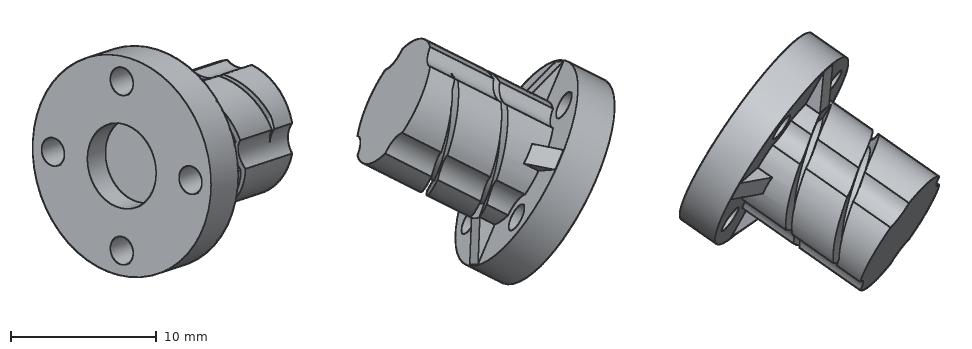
import cadquery as cq
import math

flange_diameter = 15.6
flange_thickness = 3.0
bolt_hole_count = 4
bolt_circle_diameter = 12.01
bolt_hole_diameter = 2.0
recess_diameter = 6.0
recess_depth = 2.0

total_length = 13.0
barrel_diameter = 9.5
barrel_radius = barrel_diameter / 2
scallop_count = 4
scallop_diameter = 3.48
scallop_radius = scallop_diameter / 2
scallop_width = 2.15

rib_count = 4
first_rib_angle = 45
rib_thickness = 1.5
rib_height = 1.2
rib_inner_radius = 4.7
rib_outer_radius = 7.68
rib_embed = 0.78

groove_starts = 2
groove_lead = 8.0
groove_start_height = 3.28
groove_width = 0.5
groove_depth = 1.1
groove_bottom_height = flange_thickness + rib_height
groove_top_height = 11.0


def make_flange():
    flange = cq.Workplane("XY").circle(flange_diameter / 2).extrude(flange_thickness)
    holes = (
        cq.Workplane("XY")
        .polarArray(bolt_circle_diameter / 2, 0, 360, bolt_hole_count)
        .circle(bolt_hole_diameter / 2)
        .extrude(flange_thickness)
    )
    return flange.cut(holes)


def make_scallops():
    """Cylinders whose overlap with the barrel surface is scallop_width wide."""
    half_width = scallop_width / 2
    edge_distance = math.sqrt(barrel_radius**2 - half_width**2)
    center_distance = edge_distance + math.sqrt(scallop_radius**2 - half_width**2)
    return (
        cq.Workplane("XY")
        .polarArray(center_distance, 0, 360, scallop_count)
        .circle(scallop_radius)
        .extrude(total_length)
    )


def make_groove_cutter(start_angle):
    """One helical thread of rectangular section, trimmed square at both ends."""
    helix_bottom = groove_start_height - groove_lead / groove_starts
    helix_height = total_length - helix_bottom
    path = cq.Workplane("XY", origin=(0, 0, helix_bottom)).add(
        cq.Wire.makeHelix(groove_lead, helix_height, barrel_radius, cq.Vector(0, 0, helix_bottom))
    )
    thread = (
        cq.Workplane("XZ")
        .center(barrel_radius, helix_bottom)
        .rect(2 * groove_depth, groove_width)
        .sweep(path, isFrenet=True)
    )
    trim = (
        cq.Workplane("XY", origin=(0, 0, groove_bottom_height))
        .circle(flange_diameter / 2)
        .extrude(groove_top_height - groove_bottom_height)
    )
    return thread.intersect(trim).rotate((0, 0, 0), (0, 0, 1), start_angle)


def make_barrel():
    barrel = cq.Workplane("XY").circle(barrel_radius).extrude(total_length)
    barrel = barrel.cut(make_scallops())
    for start in range(groove_starts):
        barrel = barrel.cut(make_groove_cutter(start * 360 / groove_starts))
    return barrel


def make_rib(angle):
    return (
        cq.Workplane("XZ")
        .moveTo(rib_inner_radius - rib_embed, flange_thickness)
        .lineTo(rib_outer_radius, flange_thickness)
        .lineTo(rib_inner_radius, flange_thickness + rib_height)
        .lineTo(rib_inner_radius - rib_embed, flange_thickness + rib_height)
        .close()
        .extrude(rib_thickness / 2, both=True)
        .rotate((0, 0, 0), (0, 0, 1), angle)
    )


part = make_barrel().union(make_flange())
for rib in range(rib_count):
    part = part.union(make_rib(first_rib_angle + rib * 360 / rib_count))
recess = cq.Workplane("XY").circle(recess_diameter / 2).extrude(recess_depth)
result = part.cut(recess).rotate((0, 0, 0), (1, 0, 0), -90)